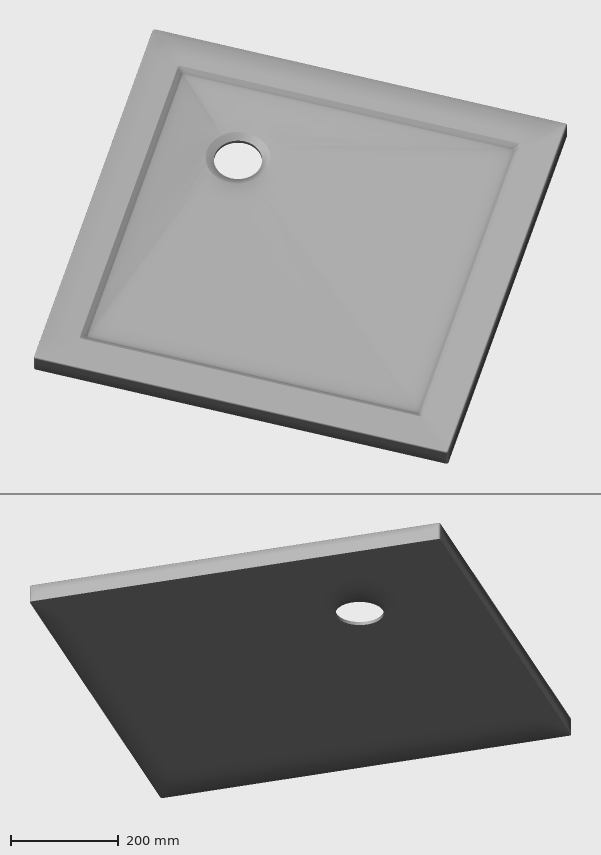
import cadquery as cq
import math

side = 800.0
height = 35.0
edge_round = 3.0

rim_width = 69.0
rim_drop = 2.0
corner_round = 4.0

wall_run = 11.0
wall_drop = 7.0
floor_split = 0.19

drain_x = -170.0
drain_y = 170.0
drain_radius = 45.0
ring_radius = 60.0
ring_z = 13.0
ring_depth = 6.0

rim_outer_half = side / 2 - edge_round
basin_half = side / 2 - rim_width
floor_half = basin_half - wall_run
basin_z = height - rim_drop
floor_z = basin_z - wall_drop


def square_wire(half, z):
    """Wire of a centred square with rounded corners at height z."""
    solid = cq.Workplane("XY").workplane(offset=z).rect(2 * half, 2 * half).extrude(8)
    return solid.edges("|Z").fillet(corner_round).faces("<Z").wires().val()


def tapered_pocket(top_half, top_z, bottom_half, bottom_z):
    """Cutter with straight sloping walls between two rounded squares."""
    wires = [square_wire(bottom_half, bottom_z), square_wire(top_half, top_z)]
    return cq.Workplane(obj=cq.Solid.makeLoft(wires, True))


def ring_point(angle):
    """Point on the drain ring at an angle in degrees."""
    turn = math.radians(angle)
    return cq.Vector(
        drain_x + ring_radius * math.cos(turn),
        drain_y + ring_radius * math.sin(turn),
        ring_z,
    )


def floor_cutter():
    """Funnel from the square floor edge to the drain ring, one ruled face per stretch."""
    quarter_turn = 90
    left_right_split = floor_half * (2 * floor_split - 1)
    stops = [
        (-floor_half, -floor_half, 225),
        (floor_half, -floor_half, 315),
        (floor_half, left_right_split, 315 + quarter_turn * floor_split),
        (floor_half, floor_half, 405),
        (-floor_half, floor_half, 495),
        (-floor_half, left_right_split, 585 - quarter_turn * floor_split),
    ]
    edge_lines = []
    ring_arcs = []
    for index, (x, y, angle) in enumerate(stops):
        next_x, next_y, next_angle = stops[(index + 1) % len(stops)]
        if next_angle < angle:
            next_angle += 360
        start = cq.Vector(x, y, floor_z)
        end = cq.Vector(next_x, next_y, floor_z)
        edge_lines.append(cq.Edge.makeLine(start, end))
        middle = ring_point((angle + next_angle) / 2)
        ring_arcs.append(cq.Edge.makeThreePointArc(ring_point(angle), middle, ring_point(next_angle)))

    faces = [cq.Face.makeRuledSurface(line, arc) for line, arc in zip(edge_lines, ring_arcs)]
    faces.append(cq.Face.makeFromWires(cq.Wire.assembleEdges(edge_lines)))
    faces.append(cq.Face.makeFromWires(cq.Wire.assembleEdges(ring_arcs)))
    funnel = cq.Solid.makeSolid(cq.Shell.makeShell(faces))
    return cq.Workplane(obj=funnel.fix())


def drain_cutter():
    """Countersunk through hole of the drain."""
    profile = [
        (0, 0),
        (drain_radius, 0),
        (drain_radius, ring_z - ring_depth),
        (ring_radius, ring_z),
        (0, ring_z),
    ]
    cutter = cq.Workplane("XZ").polyline(profile).close().revolve(360, (0, 0), (0, 1))
    return cutter.translate((drain_x, drain_y, 0))


body = cq.Workplane("XY").box(side, side, height, centered=(True, True, False))
body = body.edges("|Z").fillet(corner_round)
body = body.faces(">Z").edges().fillet(edge_round)

body = body.cut(tapered_pocket(rim_outer_half, height, basin_half, basin_z))
body = body.cut(tapered_pocket(basin_half, basin_z, floor_half, floor_z))
body = body.cut(floor_cutter())
result = body.cut(drain_cutter())